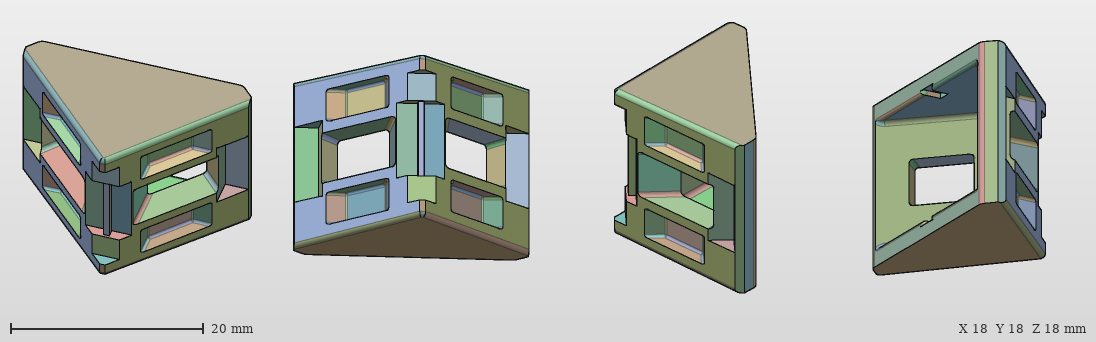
import cadquery as cq
import math


SIZE = 18.0
MID = SIZE / 2
DRAFT = math.radians(1)

MARGIN = 1.8
PICK = 0.18

TIP = 2.52
TIP_RADIUS = 1.0
TOE_CHAMFER = 0.7
CORNER_CHAMFER = 0.43
EDGE_RADIUS = 0.5

LEG = 2.99
POCKET_HALF_HEIGHT = 6.98
POCKET_DRAFT = math.radians(0.5)
LEG_RADIUS = 1.0
WALL_RADIUS = 0.5
RIM_RADIUS = 0.36

GROOVE_WIDTH = 1.51
GROOVE_DEPTH = 2.16
GROOVE_HALF_HEIGHT = 7.55
GROOVE_LIP_RADIUS = 0.5

SLOPE_ANGLE = math.radians(42)

SLOT_START = 4.05
SLOT_END = 14.33
SLOT_HEIGHT_INSIDE = 5.15
SLOT_HEIGHT_OUTSIDE = 5.44
SLOT_RADIUS = 0.45

BLIND_START = 4.99
BLIND_END = 13.41
BLIND_DEPTH = 1.51
BLIND_HEIGHT = 3.5
BLIND_OFFSET = 5.58
BLIND_RADIUS = 0.29

RECESS_END = 4.48
CHANNEL_HALF_HEIGHT = 4.05

RELIEF_REACH = 15.91
RELIEF_HALF_HEIGHT = 7.02
BAND_REACH = 14.45
RIB_REACH = 15.53
RIB_BASE_SPREAD = 0.49
RIB_TOP_SPREAD = 0.45


def diagonal_point(reach, total):
    """Point whose x - y is reach and whose x + y is total."""
    return ((total + reach) / 2, (total - reach) / 2)


def prism(points):
    """Prism of a plan outline, taller than the part."""
    base = cq.Workplane("XY").workplane(offset=-MARGIN)
    return base.polyline(points).close().extrude(SIZE + 2 * MARGIN)


def depth_at(reach):
    """Distance of a given reach from the sloped side."""
    return (reach + TIP) / math.sqrt(2)


def diagonal_bar(upper):
    """Long bar parallel to the sloped side.

    The upper half of its section is given as (depth, height above mid-height) points.
    """
    lower = [(depth, -height) for depth, height in reversed(upper)]
    middle = diagonal_point(-TIP, SIZE)
    plane = cq.Plane(origin=(*middle, MID), xDir=(1, -1, 0), normal=(-1, -1, 0))
    return cq.Workplane(plane).polyline(upper + lower).close().extrude(2 * SIZE, both=True)


def drafted_slab(half_height, reach, draft):
    """Slab with the given half height at one reach, widening towards the corner by the draft angle."""
    start, end = -SIZE, 2 * SIZE
    upper = [
        (depth, half_height + math.tan(draft) * (depth - depth_at(reach)))
        for depth in (start, end)
    ]
    return diagonal_bar(upper)


def edges_near(x, y, z=MID, height=SIZE):
    """Selector of edges centred beside the point (x, y) within a band of height about z."""
    return cq.selectors.BoxSelector(
        (x - PICK, y - PICK, z - height / 2),
        (x + PICK, y + PICK, z + height / 2),
    )


def mirrored(leg_feature):
    """The same feature on the other leg, mirrored about the diagonal."""
    return leg_feature.rotate((MID, MID, MID), (MID + 0.18, MID - 0.18, MID), 180)


def shell():
    """Solid outer body with drafted top and bottom faces."""
    outline = [
        (TOE_CHAMFER, 0),
        (SIZE - CORNER_CHAMFER, 0),
        (SIZE, CORNER_CHAMFER),
        (SIZE, SIZE - TOE_CHAMFER),
        (SIZE - TOE_CHAMFER, SIZE),
        (SIZE - TIP, SIZE),
        (0, TIP),
        (0, TOE_CHAMFER),
    ]
    plan = prism(outline)
    for tip in ((0, TIP), (SIZE - TIP, SIZE)):
        plan = plan.edges(edges_near(*tip)).fillet(TIP_RADIUS)
    solid = plan.intersect(drafted_slab(MID, -TIP, -DRAFT))
    outer_faces = solid.faces("<Y or >X or >(1, -1, 0)")
    return outer_faces.edges("not |Z").fillet(EDGE_RADIUS)


def flared_walls():
    """Space between the top and bottom pocket walls, flared where it meets the sloped side."""
    far_half_height = POCKET_HALF_HEIGHT - SIZE * math.tan(POCKET_DRAFT)
    walls = diagonal_bar([
        (-MARGIN, SIZE),
        (0, SIZE),
        (0, POCKET_HALF_HEIGHT),
        (SIZE, far_half_height),
    ])
    x, y = diagonal_point(-TIP, SIZE)
    for z in (MID - POCKET_HALF_HEIGHT, MID + POCKET_HALF_HEIGHT):
        walls = walls.edges(edges_near(x, y, z, 2 * PICK)).fillet(RIM_RADIUS)
    return walls


def pocket():
    """Hollow between the legs, with rounded inner edges."""
    inner_x = SIZE - LEG
    outline = [
        (LEG - TIP - MARGIN, LEG),
        (inner_x, LEG),
        (inner_x, inner_x + TIP + MARGIN),
    ]
    solid = prism(outline).intersect(flared_walls())
    solid = solid.edges(edges_near(inner_x, LEG)).fillet(LEG_RADIUS)
    bend = LEG_RADIUS * (1 - math.sqrt(0.5))
    corner_arcs = solid.edges(edges_near(inner_x - bend, LEG + bend)).edges("not |Z")
    return corner_arcs.fillet(WALL_RADIUS)


def groove():
    """Groove cutter with rounded lips, cut into both pocket walls at once."""
    half = GROOVE_WIDTH / math.sqrt(2)
    deep = GROOVE_DEPTH * math.sqrt(2) - TIP
    wide = half + 2 * GROOVE_LIP_RADIUS
    outline = [
        diagonal_point(deep, SIZE - half),
        diagonal_point(deep, SIZE + half),
        diagonal_point(-TIP, SIZE + half),
        diagonal_point(-TIP, SIZE + wide),
        diagonal_point(-TIP - MARGIN, SIZE + wide),
        diagonal_point(-TIP - MARGIN, SIZE - wide),
        diagonal_point(-TIP, SIZE - wide),
        diagonal_point(-TIP, SIZE - half),
    ]
    solid = prism(outline)
    for side in (-half, half):
        lip = diagonal_point(-TIP, SIZE + side)
        solid = solid.edges(edges_near(*lip)).fillet(GROOVE_LIP_RADIUS)
    return solid.intersect(drafted_slab(GROOVE_HALF_HEIGHT, -TIP, 0))


def tapered_hole(outside, inside, depth):
    """Loft from a rectangle on the -Y face to one at depth; each is (start, end, height)."""

    def section(start, end, height, y):
        plane = cq.Plane(origin=((start + end) / 2, y, MID), xDir=(1, 0, 0), normal=(0, -1, 0))
        return cq.Workplane(plane).rect(end - start, height).wires().val()

    wires = [section(*outside, 0), section(*inside, depth)]
    return cq.Workplane(cq.Solid.makeLoft(wires, True))


def slot():
    """Slot through the -Y leg."""
    outside = (SLOT_START, SLOT_END, SLOT_HEIGHT_OUTSIDE)
    inside = (SLOT_START, SLOT_END - LEG / math.tan(SLOPE_ANGLE), SLOT_HEIGHT_INSIDE)
    solid = tapered_hole(outside, inside, LEG)
    return solid.edges("not #Y").fillet(SLOT_RADIUS)


def blind_pocket():
    """Shallow tapered pocket in the -Y leg, at mid-height."""
    outside = (BLIND_START, BLIND_END, BLIND_HEIGHT)
    inside_height = BLIND_HEIGHT - 2 * BLIND_DEPTH * math.tan(DRAFT)
    inside_start = BLIND_START + BLIND_DEPTH
    inside_end = BLIND_END - BLIND_DEPTH / math.tan(SLOPE_ANGLE)
    inside = (inside_start, inside_end, inside_height)
    solid = tapered_hole(outside, inside, BLIND_DEPTH)
    return solid.faces("not <Y").edges("not <Y").fillet(BLIND_RADIUS)


def toe_recess():
    """Wedge cut behind the toe of the -Y leg."""
    rise = math.tan(SLOPE_ANGLE)
    inner_x = (TOE_CHAMFER + RECESS_END * rise) / (1 + rise)
    outline = [(TOE_CHAMFER, 0), (RECESS_END, 0), (inner_x, inner_x - TOE_CHAMFER)]
    return prism(outline).intersect(drafted_slab(CHANNEL_HALF_HEIGHT, TOE_CHAMFER, DRAFT))


def corner_relief():
    """Flat cut across the corner."""
    outline = [(RELIEF_REACH, 0), (SIZE, 0), (SIZE, SIZE - RELIEF_REACH)]
    return prism(outline).intersect(drafted_slab(RELIEF_HALF_HEIGHT, RELIEF_REACH, DRAFT))


def corner_band():
    """Deeper cut across the corner, around the rib."""
    outline = [
        (BAND_REACH, 0),
        (SIZE, 0),
        (SIZE, SIZE - BAND_REACH),
        diagonal_point(BAND_REACH, SIZE + RIB_BASE_SPREAD),
        diagonal_point(RIB_REACH, SIZE + RIB_TOP_SPREAD),
        diagonal_point(RIB_REACH, SIZE - RIB_TOP_SPREAD),
        diagonal_point(BAND_REACH, SIZE - RIB_BASE_SPREAD),
    ]
    return prism(outline).intersect(drafted_slab(CHANNEL_HALF_HEIGHT, BAND_REACH, DRAFT))


leg_features = [slot(), toe_recess()]
for offset in (-BLIND_OFFSET, BLIND_OFFSET):
    leg_features.append(blind_pocket().translate((0, 0, offset)))

result = shell().cut(pocket()).cut(groove())
for feature in leg_features:
    result = result.cut(feature).cut(mirrored(feature))
result = result.cut(corner_relief()).cut(corner_band())